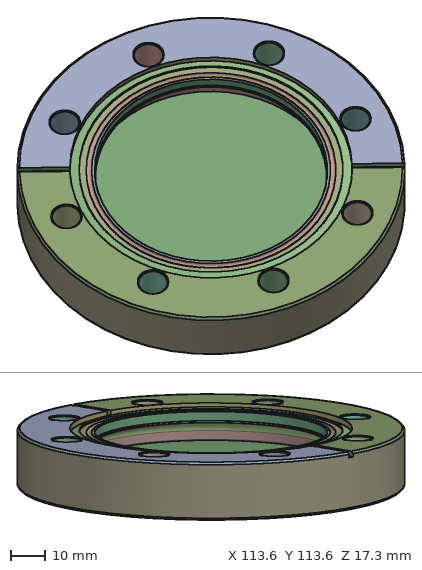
import cadquery as cq
import math

flange_radius = 56.8
flange_height = 17.3
edge_chamfer = 0.7

bolt_count = 8
bolt_circle_radius = 46.1
bolt_hole_radius = 4.2
bolt_hole_chamfer = 0.3

gasket_recess_radius = 41.3
knife_tip_radius = 38.6
knife_tip_depth = 0.7
knife_slope = 20.0
land_depth = 1.2

relief_centre_radius = 35.8
relief_radius = 0.8

lip_bore_radius = 34.1
lip_underside_depth = 4.0

slot_angle = 67.5
slot_width = 1.6
slot_depth = 1.6

sleeve_mouth_radius = 33.8
sleeve_bore_radius = 36.6
sleeve_thickness = 0.6
sleeve_foot_round = 0.5
window_top_depth = 10.3

knife_base_depth = knife_tip_depth + (gasket_recess_radius - knife_tip_radius) * math.tan(
    math.radians(knife_slope)
)
sleeve_outer_radius = sleeve_bore_radius + sleeve_thickness
sleeve_top = flange_height - lip_underside_depth
sleeve_rim_underside = sleeve_top - sleeve_thickness
sleeve_fillet = sleeve_bore_radius - sleeve_mouth_radius
window_top = flange_height - window_top_depth


def revolve(profile):
    """Turn a closed profile, drawn with radius across and Z up, about the Z axis."""
    return profile.close().revolve(360, (0, 0, 0), (0, 1, 0))


def make_flange_ring():
    """Turned body of the flange, from the outer rim in to the weld lip."""
    top = flange_height
    land = top - land_depth
    profile = (
        cq.Workplane("XZ")
        .moveTo(sleeve_outer_radius, 0)
        .lineTo(flange_radius - edge_chamfer, 0)
        .lineTo(flange_radius, edge_chamfer)
        .lineTo(flange_radius, top - edge_chamfer)
        .lineTo(flange_radius - edge_chamfer, top)
        .lineTo(gasket_recess_radius, top)
        .lineTo(gasket_recess_radius, top - knife_base_depth)
        .lineTo(knife_tip_radius, top - knife_tip_depth)
        .lineTo(knife_tip_radius, land)
        .lineTo(relief_centre_radius + relief_radius, land)
        .threePointArc(
            (relief_centre_radius, land - relief_radius),
            (relief_centre_radius - relief_radius, land),
        )
        .lineTo(lip_bore_radius, land)
        .lineTo(lip_bore_radius, sleeve_top)
        .lineTo(sleeve_outer_radius, sleeve_top)
    )
    return revolve(profile)


def make_bolt_hole_cutter():
    """Through hole on the Z axis with a chamfer at its top end."""
    mouth_radius = bolt_hole_radius + bolt_hole_chamfer
    profile = (
        cq.Workplane("XZ")
        .lineTo(bolt_hole_radius, 0)
        .lineTo(bolt_hole_radius, flange_height - bolt_hole_chamfer)
        .lineTo(mouth_radius, flange_height)
        .lineTo(0, flange_height)
    )
    return revolve(profile)


def make_slot_cutter(angle):
    """Radial slot whose inner corners meet the wall of the gasket recess."""
    start = math.sqrt(gasket_recess_radius**2 - (slot_width / 2) ** 2)
    return (
        cq.Workplane("XY")
        .box(flange_radius, slot_width, slot_depth, centered=(False, True, False))
        .translate((start, 0, flange_height - slot_depth))
        .rotate((0, 0, 0), (0, 0, 1), angle)
    )


def make_flange():
    flange = make_flange_ring()
    hole = make_bolt_hole_cutter().translate((bolt_circle_radius, 0, 0))
    for index in range(bolt_count):
        flange = flange.cut(hole.rotate((0, 0, 0), (0, 0, 1), index * 360 / bolt_count))
    for angle in (slot_angle, slot_angle + 180):
        flange = flange.cut(make_slot_cutter(angle))
    return flange


def make_sleeve():
    """Tube standing on the window, with a rounded foot and a filleted inward rim at its top."""
    rim_arc_centre_z = sleeve_rim_underside - sleeve_fillet
    rim_reach = sleeve_fillet * math.sqrt(0.5)
    foot_centre_radius = sleeve_bore_radius + sleeve_foot_round
    foot_centre_z = window_top + sleeve_foot_round
    foot_reach = sleeve_foot_round * math.sqrt(0.5)
    profile = (
        cq.Workplane("XZ")
        .moveTo(foot_centre_radius, window_top)
        .lineTo(sleeve_outer_radius, window_top)
        .lineTo(sleeve_outer_radius, sleeve_top)
        .lineTo(sleeve_mouth_radius, sleeve_top)
        .lineTo(sleeve_mouth_radius, sleeve_rim_underside)
        .threePointArc(
            (sleeve_mouth_radius + rim_reach, rim_arc_centre_z + rim_reach),
            (sleeve_bore_radius, rim_arc_centre_z),
        )
        .lineTo(sleeve_bore_radius, foot_centre_z)
        .threePointArc(
            (foot_centre_radius - foot_reach, foot_centre_z - foot_reach),
            (foot_centre_radius, window_top),
        )
    )
    return revolve(profile)


def make_window():
    """Plain disc that fills the flange bore below the sleeve."""
    return cq.Workplane("XY").circle(sleeve_outer_radius).extrude(window_top)


flange = make_flange()
sleeve = make_sleeve()
window = make_window()

result = cq.Compound.makeCompound([flange.val(), sleeve.val(), window.val()])